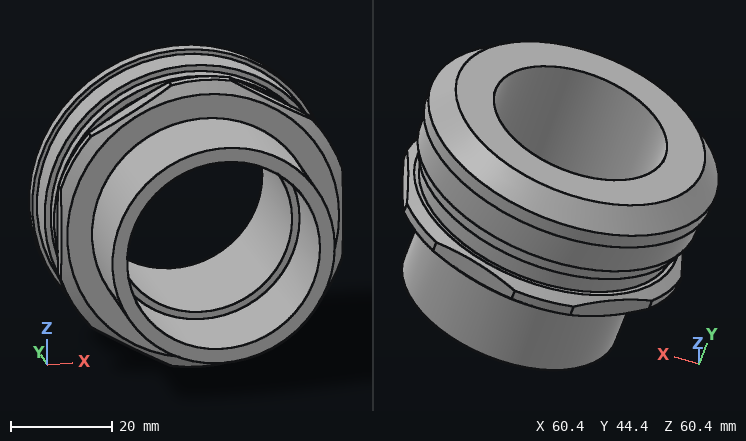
import cadquery as cq
import math

tube_diameter = 45.0
tube_length = 18.0
hex_corner_diameter = 60.0
hex_across_flats = 57.0
hex_width = 5.0
hex_face_diameter = 55.0
hex_chamfer_angle = 30.0
neck_diameter = 53.0
neck_length = 4.45
shoulder_diameter = 56.0
shoulder_length = 2.95
body_diameter = 58.5
body_length = 6.75
rim_diameter = 60.4
rim_length = 7.25
rim_chamfer = 4.3

socket_diameter = 39.0
socket_depth = 18.0
bore_diameter = 36.0

hex_side_count = 6
total_length = tube_length + hex_width + neck_length + shoulder_length + body_length + rim_length
front_y = -total_length / 2


def cylinder(diameter, length, start_y):
    """Solid cylinder along +Y, starting at start_y."""
    plane = cq.Workplane("XZ", origin=(0, start_y, 0))
    return plane.circle(diameter / 2).extrude(-length)


def hex_flange(start_y):
    """Hexagon with flats on the X sides, its corners rounded and chamfered on both faces."""
    corner_radius = hex_corner_diameter / 2
    face_radius = hex_face_diameter / 2
    chamfer_width = (corner_radius - face_radius) * math.tan(math.radians(hex_chamfer_angle))
    end_y = start_y + hex_width
    blank = (
        cq.Workplane("XY")
        .moveTo(0, start_y)
        .lineTo(face_radius, start_y)
        .lineTo(corner_radius, start_y + chamfer_width)
        .lineTo(corner_radius, end_y - chamfer_width)
        .lineTo(face_radius, end_y)
        .lineTo(0, end_y)
        .close()
        .revolve(360, (0, 0, 0), (0, 1, 0))
    )
    point_to_point = hex_across_flats / math.cos(math.pi / hex_side_count)
    prism = (
        cq.Workplane("XZ", origin=(0, start_y, 0))
        .transformed(rotate=(0, 0, 180 / hex_side_count))
        .polygon(hex_side_count, point_to_point)
        .extrude(-hex_width)
    )
    return blank.intersect(prism)


hex_y = front_y + tube_length
neck_y = hex_y + hex_width
shoulder_y = neck_y + neck_length
body_y = shoulder_y + shoulder_length
rim_y = body_y + body_length

rim = cylinder(rim_diameter, rim_length, rim_y).faces(">Y").chamfer(rim_chamfer)
outer = (
    cylinder(tube_diameter, tube_length, front_y)
    .union(hex_flange(hex_y))
    .union(cylinder(neck_diameter, neck_length, neck_y))
    .union(cylinder(shoulder_diameter, shoulder_length, shoulder_y))
    .union(cylinder(body_diameter, body_length, body_y))
    .union(rim)
)

result = (
    outer
    .cut(cylinder(bore_diameter, total_length, front_y))
    .cut(cylinder(socket_diameter, socket_depth, front_y))
)